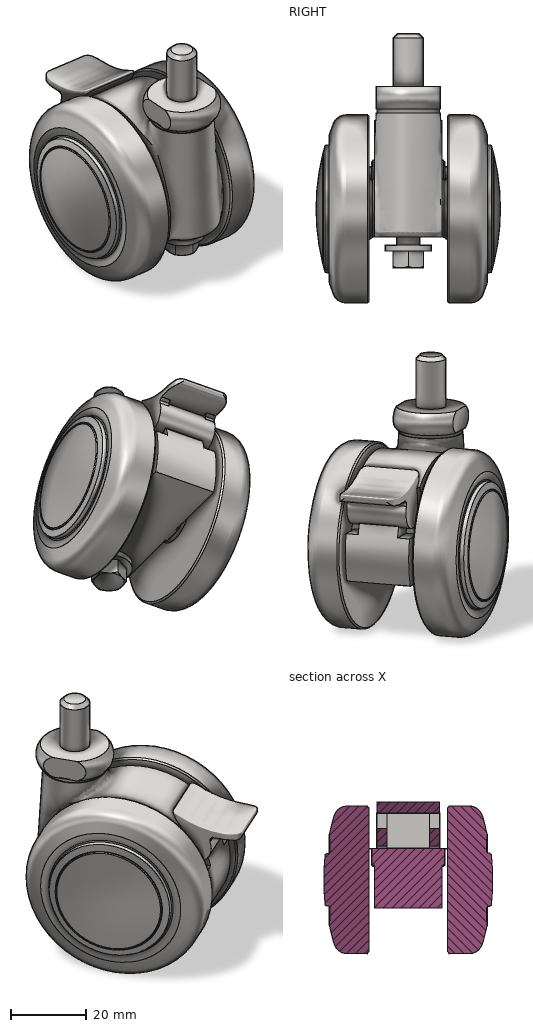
import cadquery as cq
import math


wheel_radius = 25.0
wheel_inner_y = 10.4
wheel_outer_y = 24.5
hub_radius = 8.2

drum_radius = 23.5
drum_half_width = 9.0
housing_bottom_z = -7.5
boss_outer_y = 9.55

stem_x = 17.0
stem_top_z = 46.5
thread_radius = 4.0
bolt_radius = 3.1
collar_radius = 10.36
collar_bottom_z = 26.5
collar_height = 6.0
neck_radius = 8.3
neck_height = 1.0
tower_top_z = collar_bottom_z - neck_height

lever_half_width = 8.4
web_half_width = 5.6


def prism(outline, y_start, y_end):
    """Extrude an XZ outline along Y between two Y positions."""
    return outline.extrude(y_start - y_end).translate((0, y_start, 0))


def y_cylinder(x, z, radius, y_start, y_end):
    return prism(cq.Workplane("XZ").center(x, z).circle(radius), y_start, y_end)


def middle_band():
    """Tall slab across the caster, as wide as the lever web and the housing tongue below it."""
    return cq.Workplane("XY").box(4 * wheel_radius, 2 * web_half_width, 4 * wheel_radius)


tread_outer_y = 16.4
edge_chamfer = 0.45
shoulder_radius = 22.4
shoulder_y = 20.0
rim_radius = 19.6
rim_y = 21.0
recess_radius = 18.0
recess_y = 20.8
cap_radius = 17.0
cap_foot_radius = 17.4
cap_bevel_y = 21.6
cap_edge_radius = 16.85
cap_edge_y = 22.1
groove_outer_radius = 15.0
groove_inner_radius = 14.5
groove_depth = 0.2
hub_taper = 0.6


def make_wheel():
    """Revolved wheel on the +Y side: tyre, recessed ring, domed cap and short inner hub."""
    dome_rise = wheel_outer_y - cap_edge_y
    dome_radius = (cap_edge_radius**2 + dome_rise**2) / (2 * dome_rise)
    dome_center_y = wheel_outer_y - dome_radius

    def dome_y(radius):
        return dome_center_y + math.sqrt(dome_radius**2 - radius**2)

    groove_radius = (groove_outer_radius + groove_inner_radius) / 2
    cap_band_radius = (cap_edge_radius + groove_outer_radius) / 2
    cap_middle_radius = groove_inner_radius / 2
    profile = (
        cq.Workplane("XY")
        .moveTo(0, boss_outer_y)
        .lineTo(hub_radius - hub_taper, boss_outer_y)
        .lineTo(hub_radius, wheel_inner_y)
        .lineTo(wheel_radius - edge_chamfer, wheel_inner_y)
        .lineTo(wheel_radius, wheel_inner_y + edge_chamfer)
        .lineTo(wheel_radius, tread_outer_y)
        .tangentArcPoint((shoulder_radius, shoulder_y), relative=False)
        .lineTo(rim_radius, rim_y)
        .lineTo(recess_radius, recess_y)
        .lineTo(cap_foot_radius, recess_y)
        .lineTo(cap_radius, rim_y)
        .lineTo(cap_radius, cap_bevel_y)
        .lineTo(cap_edge_radius, cap_edge_y)
        .threePointArc((cap_band_radius, dome_y(cap_band_radius)),
                       (groove_outer_radius, dome_y(groove_outer_radius)))
        .lineTo(groove_radius, dome_y(groove_radius) - groove_depth)
        .lineTo(groove_inner_radius, dome_y(groove_inner_radius))
        .threePointArc((cap_middle_radius, dome_y(cap_middle_radius)), (0, wheel_outer_y))
        .close()
    )
    return profile.revolve(360, (0, 0, 0), (0, 1, 0))


wheels = []
for turn in (0, 180):
    wheels.append(make_wheel().rotate((0, 0, 0), (0, 0, 1), turn))


thread_chamfer = 1.1
collar_face_radius = 9.15
collar_flat_width = 17.0
washer_radius = 6.15
washer_top_z = -9.6
washer_bottom_z = -11.25
bolt_head_bottom_z = -15.65
bolt_head_flats = 8.1
bolt_head_chamfer_angle = 30


def make_collar():
    collar_top_z = collar_bottom_z + collar_height
    profile = (
        cq.Workplane("XZ")
        .moveTo(0, collar_bottom_z)
        .lineTo(collar_face_radius, collar_bottom_z)
        .threePointArc((collar_radius, collar_bottom_z + collar_height / 2),
                       (collar_face_radius, collar_top_z))
        .lineTo(0, collar_top_z)
        .close()
    )
    collar = profile.revolve(360, (0, 0, 0), (0, 1, 0))
    flats = (
        cq.Workplane("XY", origin=(0, 0, collar_bottom_z))
        .rect(3 * collar_radius, collar_flat_width)
        .extrude(collar_height)
    )
    return collar.intersect(flats)


def make_bolt_head():
    """Hexagon with corners along X, its lower corners turned down to a cone."""
    height = washer_bottom_z - bolt_head_bottom_z
    corner_diameter = bolt_head_flats / math.cos(math.pi / 6)
    corner_cut = (corner_diameter - bolt_head_flats) / 2
    chamfer_height = corner_cut * math.tan(math.radians(bolt_head_chamfer_angle))
    base = cq.Workplane("XY", origin=(0, 0, bolt_head_bottom_z))
    head = base.polygon(6, corner_diameter).extrude(height)
    envelope = (
        base.circle(corner_diameter / 2)
        .extrude(height)
        .faces("<Z")
        .chamfer(chamfer_height, corner_cut)
    )
    return head.intersect(envelope)


def make_stem():
    stem = (
        cq.Workplane("XY", origin=(0, 0, collar_bottom_z))
        .circle(thread_radius)
        .extrude(stem_top_z - collar_bottom_z)
        .faces(">Z")
        .chamfer(thread_chamfer)
    )
    neck = cq.Workplane("XY", origin=(0, 0, tower_top_z)).circle(neck_radius).extrude(neck_height)
    shank = (
        cq.Workplane("XY", origin=(0, 0, washer_bottom_z))
        .circle(bolt_radius)
        .extrude(collar_bottom_z - washer_bottom_z)
    )
    washer = (
        cq.Workplane("XY", origin=(0, 0, washer_bottom_z))
        .circle(washer_radius)
        .extrude(washer_top_z - washer_bottom_z)
    )
    stem = stem.union(make_collar()).union(neck).union(shank).union(washer).union(make_bolt_head())
    return stem.translate((stem_x, 0, 0))


tower_top_radius = 8.55
tower_bottom_radius = 10.42
tower_root_fillet = 2.3
tower_bottom_fillet = 1.5
hub_boss_radius = 8.0

pocket_floor_z = 5.5
tongue_top_z = 8.4
wall_top_x = -13.5
wall_top_z = 13.0
wall_slope = 2.4
mouth_x = -15.2
roof_mid_x = -13.9
mouth_z = math.sqrt(drum_radius**2 - mouth_x**2)

pivot_boss_x = -17.15
pivot_boss_z = 8.9
pivot_boss_radius = 5.4
pivot_boss_outer_y = 9.75
pivot_boss_chamfer = 0.45
pivot_pin_x = -14.2
pivot_pin_z = 9.45
pivot_pin_radius = 1.75
far_left_x = -wheel_radius - 5


def wall_x(z):
    """X of the sloping back wall of the lever pocket at a given height."""
    return wall_top_x - (wall_top_z - z) / wall_slope


def pocket_outline(floor_z):
    return (
        cq.Workplane("XZ")
        .moveTo(far_left_x, floor_z)
        .lineTo(wall_x(floor_z), floor_z)
        .lineTo(wall_top_x, wall_top_z)
        .threePointArc((roof_mid_x, (wall_top_z + mouth_z) / 2), (mouth_x, mouth_z))
        .lineTo(far_left_x, mouth_z)
        .close()
    )


def make_pivot_bosses():
    """Flat boss and pivot pin end on both sides, sliced off by the plane of the pocket wall."""
    low_z = pivot_boss_z - 2 * pivot_boss_radius
    high_z = pivot_boss_z + 2 * pivot_boss_radius
    slice_outline = (
        cq.Workplane("XZ")
        .moveTo(far_left_x, low_z)
        .lineTo(wall_x(low_z), low_z)
        .lineTo(wall_x(high_z), high_z)
        .lineTo(far_left_x, high_z)
        .close()
    )
    boss = y_cylinder(pivot_boss_x, pivot_boss_z, pivot_boss_radius, -pivot_boss_outer_y, pivot_boss_outer_y)
    boss = boss.edges("%CIRCLE").chamfer(pivot_boss_chamfer)
    pin = y_cylinder(pivot_pin_x, pivot_pin_z, pivot_pin_radius, -wheel_inner_y, wheel_inner_y)
    return boss.union(pin).cut(prism(slice_outline, -wheel_inner_y, wheel_inner_y))


def make_housing():
    drum = y_cylinder(0, 0, drum_radius, -2 * drum_half_width, 2 * drum_half_width)
    above_bottom = (
        cq.Workplane("XY", origin=(0, 0, housing_bottom_z))
        .rect(4 * drum_radius, 4 * drum_half_width)
        .extrude(2 * drum_radius)
    )
    tower_height = tower_top_z - housing_bottom_z
    taper = math.degrees(math.atan2(tower_bottom_radius - tower_top_radius, tower_height))
    tower = (
        cq.Workplane("XY", origin=(stem_x, 0, housing_bottom_z))
        .circle(tower_bottom_radius)
        .extrude(tower_height, taper=taper)
        .faces("<Z")
        .edges()
        .fillet(tower_bottom_fillet)
    )
    between_sides = cq.Workplane("XY").box(8 * drum_radius, 2 * drum_half_width, 8 * drum_radius)
    junction_center = (stem_x, 0, drum_radius * 0.6)
    junction = cq.selectors.NearestToPointSelector(junction_center)
    body = drum.union(tower).edges(junction).fillet(tower_root_fillet)
    body = body.intersect(above_bottom).intersect(between_sides)

    hub_boss = y_cylinder(0, 0, hub_boss_radius, -boss_outer_y, boss_outer_y)
    body = body.union(hub_boss.intersect(above_bottom)).union(make_pivot_bosses())
    body = body.cut(prism(pocket_outline(tongue_top_z), -drum_half_width, drum_half_width))
    ear_pocket = prism(pocket_outline(pocket_floor_z), -drum_half_width, drum_half_width)
    body = body.cut(ear_pocket.cut(middle_band()))
    bolt_hole = (
        cq.Workplane("XY", origin=(stem_x, 0, housing_bottom_z)).circle(bolt_radius).extrude(tower_height)
    )
    return body.cut(bolt_hole)


tip_x = -32.05
tip_z = 18.2
thumb_mid_x = -22.3
thumb_mid_z = 18.35
paddle_end_x = -12.8
paddle_end_z = 22.25
paddle_bottom_z = 16.1
tip_round = 1.4
paddle_edge_fillet = 0.3
paddle_edge_drop = 0.8
paddle_taper_x = -28.5
paddle_tip_half_width = 7.5
paddle_end_corner = 1.8
paddle_tip_corner = 2.2
paddle_taper_round = 8.0
lever_back_x = -15.5
lever_back_z = 17.6
barrel_x = -18.9
barrel_z = 12.6
barrel_radius = 5.05
ear_start_z = 14.5
throat_z = 15.4
throat_depth = 0.7


def make_paddle():
    tip_inset = tip_round * (1 - math.sqrt(0.5))
    side = (
        cq.Workplane("XZ")
        .moveTo(tip_x, tip_z)
        .threePointArc((thumb_mid_x, thumb_mid_z), (paddle_end_x, paddle_end_z))
        .lineTo(paddle_end_x, paddle_end_z - paddle_edge_drop)
        .lineTo(lever_back_x, lever_back_z)
        .lineTo(lever_back_x, paddle_bottom_z)
        .lineTo(tip_x + tip_round, paddle_bottom_z)
        .threePointArc((tip_x + tip_inset, paddle_bottom_z + tip_inset), (tip_x, paddle_bottom_z + tip_round))
        .close()
    )
    plan = (
        cq.Workplane("XY")
        .moveTo(paddle_end_x, -lever_half_width)
        .lineTo(paddle_taper_x, -lever_half_width)
        .lineTo(tip_x, -paddle_tip_half_width)
        .lineTo(tip_x, 0)
        .lineTo(paddle_end_x, 0)
        .close()
        .extrude(paddle_end_z)
    )
    plan = plan.union(plan.mirror("XZ"))
    plan = plan.edges("|Z and >X").fillet(paddle_end_corner)
    plan = plan.edges("|Z and <X").fillet(paddle_tip_corner)
    taper_corners = cq.selectors.BoxSelector(
        (paddle_taper_x - 1, -wheel_radius, 0),
        (paddle_taper_x + 1, wheel_radius, paddle_end_z),
    )
    plan = plan.edges(taper_corners).edges("|Z").fillet(paddle_taper_round)
    paddle = prism(side, -lever_half_width, lever_half_width).intersect(plan)
    thumb_face = cq.selectors.NearestToPointSelector((thumb_mid_x, 0, tip_z + 1))
    return paddle.faces(thumb_face).edges().fillet(paddle_edge_fillet)


def barrel_point(angle):
    """Point on the round barrel of the lever, by its angle in degrees from +X towards +Z."""
    return (
        barrel_x + barrel_radius * math.cos(math.radians(angle)),
        barrel_z + barrel_radius * math.sin(math.radians(angle)),
    )


def barrel_left_x(z):
    """X of the left side of the barrel at a given height."""
    return barrel_x - math.sqrt(barrel_radius**2 - (z - barrel_z)**2)


def make_lever():
    """Thumb paddle on a round barrel; the barrel's ears straddle the tongue of the housing."""
    ear_start_x = barrel_left_x(ear_start_z)
    ear_outline = (
        cq.Workplane("XZ")
        .moveTo(lever_back_x, lever_back_z)
        .lineTo(*barrel_point(-45))
        .threePointArc(barrel_point(-135), (ear_start_x, ear_start_z))
        .lineTo(ear_start_x, throat_z)
        .lineTo(ear_start_x - throat_depth, paddle_bottom_z)
        .lineTo(ear_start_x, lever_back_z)
        .close()
    )
    web_outline = (
        cq.Workplane("XZ")
        .moveTo(lever_back_x, lever_back_z)
        .lineTo(lever_back_x, tongue_top_z)
        .lineTo(barrel_left_x(tongue_top_z), tongue_top_z)
        .threePointArc(barrel_point(180), (barrel_left_x(paddle_bottom_z), paddle_bottom_z))
        .lineTo(barrel_left_x(paddle_bottom_z), lever_back_z)
        .close()
    )
    ears = prism(ear_outline, -lever_half_width, lever_half_width)
    ears = ears.cut(middle_band())
    web = prism(web_outline, -web_half_width, web_half_width)
    lever = make_paddle().union(web).union(ears)
    return lever


housing = make_housing()
stem = make_stem()
lever = make_lever()

result = cq.Compound.makeCompound(
    [housing.val(), stem.val(), lever.val(), *[wheel.val() for wheel in wheels]]
)